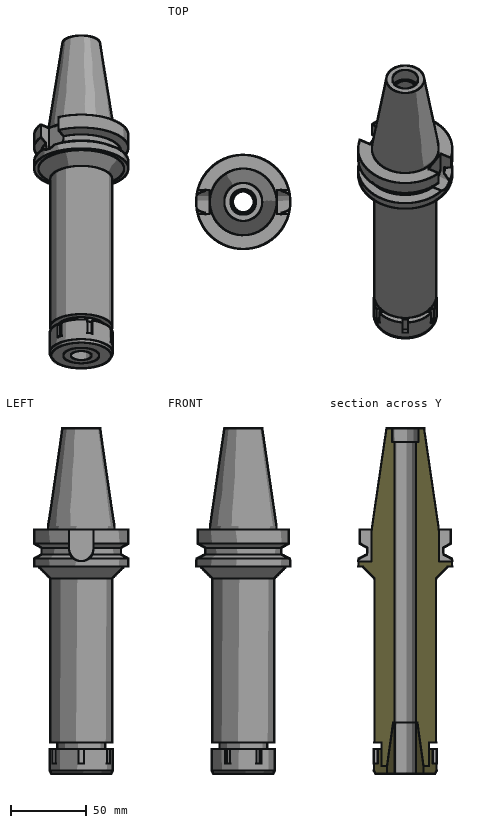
import cadquery as cq
import math

TOTAL_LENGTH = 230.5
NUT_LENGTH = 16.5
BODY_BOTTOM = 20.7
BODY_TOP = 130.2
FLANGE_BOTTOM = 138.0
GROOVE_CENTRE = 148.4
FLANGE_TOP = 163.0
GAUGE_PLANE = 165.0

TAPER_TOP_DIAMETER = 25.3
GAUGE_DIAMETER = 44.5
FLANGE_DIAMETER = 63.0
GROOVE_DIAMETER = 53.2
GROOVE_FLAT = 4.4
GROOVE_SIDE_ANGLE = 30
BODY_DIAMETER = 41.5
NECK_DIAMETER = 32.0

DRIVE_SLOT_WIDTH = 16.1
DRIVE_SLOT_DEPTH = 21.2
DRIVE_SLOT_FLOOR = 22.5

MOUTH_DIAMETER = 17.0
MOUTH_DEPTH = 9.2
BORE_DIAMETER = 14.3

NUT_DIAMETER = 42.2
NUT_CHAMFER_HEIGHT = 2.0
NUT_CHAMFER_WIDTH = 1.2
NUT_LIP = 5.0
WRENCH_SLOT_COUNT = 6
WRENCH_SLOT_WIDTH = 3.7
WRENCH_SLOT_LENGTH = 9.7
WRENCH_SLOT_FLOOR = 18.5

COLLET_LENGTH = 34.0
COLLET_FRONT_DIAMETER = 24.0
COLLET_HALF_ANGLE = 8
COLLET_BORE_DIAMETER = 13.8


def revolve_profile(points):
    """Turn a closed outline of (radius, height) points about the Z axis."""
    return cq.Workplane("XZ").polyline(points).close().revolve(360, (0, 0, 0), (0, 1, 0))


def make_collet_envelope():
    """Solid outer shape of the collet: a straight front and a tapering rear."""
    front_radius = COLLET_FRONT_DIAMETER / 2
    taper_length = COLLET_LENGTH - NUT_LIP
    rear_radius = front_radius - taper_length * math.tan(math.radians(COLLET_HALF_ANGLE))
    return revolve_profile([
        (0, 0),
        (front_radius, 0),
        (front_radius, NUT_LIP),
        (rear_radius, COLLET_LENGTH),
        (0, COLLET_LENGTH),
    ])


def make_bore(diameter):
    """Round hole along the whole spindle axis."""
    return cq.Workplane("XY").circle(diameter / 2).extrude(TOTAL_LENGTH)


def make_holder_blank():
    """Turned shape from the threaded neck up to the small end of the taper."""
    neck_radius = NECK_DIAMETER / 2
    body_radius = BODY_DIAMETER / 2
    flange_radius = FLANGE_DIAMETER / 2
    groove_radius = GROOVE_DIAMETER / 2
    gauge_radius = GAUGE_DIAMETER / 2
    shoulder_radius = body_radius + FLANGE_BOTTOM - BODY_TOP
    flat_half = GROOVE_FLAT / 2
    side_height = (flange_radius - groove_radius) * math.tan(math.radians(GROOVE_SIDE_ANGLE))
    mouth_half = flat_half + side_height
    return revolve_profile([
        (0, NUT_LIP),
        (neck_radius, NUT_LIP),
        (neck_radius, BODY_BOTTOM),
        (body_radius, BODY_BOTTOM),
        (body_radius, BODY_TOP),
        (shoulder_radius, FLANGE_BOTTOM),
        (flange_radius, FLANGE_BOTTOM),
        (flange_radius, GROOVE_CENTRE - mouth_half),
        (groove_radius, GROOVE_CENTRE - flat_half),
        (groove_radius, GROOVE_CENTRE + flat_half),
        (flange_radius, GROOVE_CENTRE + mouth_half),
        (flange_radius, FLANGE_TOP),
        (gauge_radius, FLANGE_TOP),
        (gauge_radius, GAUGE_PLANE),
        (TAPER_TOP_DIAMETER / 2, TOTAL_LENGTH),
        (0, TOTAL_LENGTH),
    ])


def make_drive_slot(side):
    """Round-bottomed slot open to the flange top, on the +X (side=1) or -X (side=-1) side."""
    half_width = DRIVE_SLOT_WIDTH / 2
    arc_centre = FLANGE_TOP - DRIVE_SLOT_DEPTH + half_width
    return (
        cq.Workplane("YZ", origin=(side * DRIVE_SLOT_FLOOR, 0, 0))
        .moveTo(-half_width, FLANGE_TOP)
        .lineTo(-half_width, arc_centre)
        .threePointArc((0, FLANGE_TOP - DRIVE_SLOT_DEPTH), (half_width, arc_centre))
        .lineTo(half_width, FLANGE_TOP)
        .close()
        .extrude(side * FLANGE_DIAMETER / 2)
    )


def make_holder():
    holder = make_holder_blank()
    for side in (-1, 1):
        holder = holder.cut(make_drive_slot(side))
    mouth = (
        cq.Workplane("XY", origin=(0, 0, TOTAL_LENGTH - MOUTH_DEPTH))
        .circle(MOUTH_DIAMETER / 2)
        .extrude(MOUTH_DEPTH)
    )
    return holder.cut(mouth).cut(make_bore(BORE_DIAMETER)).cut(make_collet_envelope())


def make_wrench_slot(angle):
    """Slot in the rim of the nut, open to its upper face."""
    return (
        cq.Workplane("XY", origin=(0, 0, NUT_LENGTH - WRENCH_SLOT_LENGTH))
        .center(WRENCH_SLOT_FLOOR + NUT_DIAMETER / 2, 0)
        .rect(NUT_DIAMETER, WRENCH_SLOT_WIDTH)
        .extrude(WRENCH_SLOT_LENGTH)
        .rotate((0, 0, 0), (0, 0, 1), angle)
    )


def make_nut():
    """Clamping nut: bored for the neck, with a front lip around the collet."""
    nut_radius = NUT_DIAMETER / 2
    neck_radius = NECK_DIAMETER / 2
    collet_radius = COLLET_FRONT_DIAMETER / 2
    nut = revolve_profile([
        (collet_radius, 0),
        (nut_radius - NUT_CHAMFER_WIDTH, 0),
        (nut_radius, NUT_CHAMFER_HEIGHT),
        (nut_radius, NUT_LENGTH),
        (neck_radius, NUT_LENGTH),
        (neck_radius, NUT_LIP),
        (collet_radius, NUT_LIP),
    ])
    for index in range(WRENCH_SLOT_COUNT):
        nut = nut.cut(make_wrench_slot(index * 360 / WRENCH_SLOT_COUNT))
    return nut


def make_collet():
    return make_collet_envelope().cut(make_bore(COLLET_BORE_DIAMETER))


holder = make_holder()
nut = make_nut()
collet = make_collet()

result = cq.Compound.makeCompound([holder.val(), nut.val(), collet.val()])